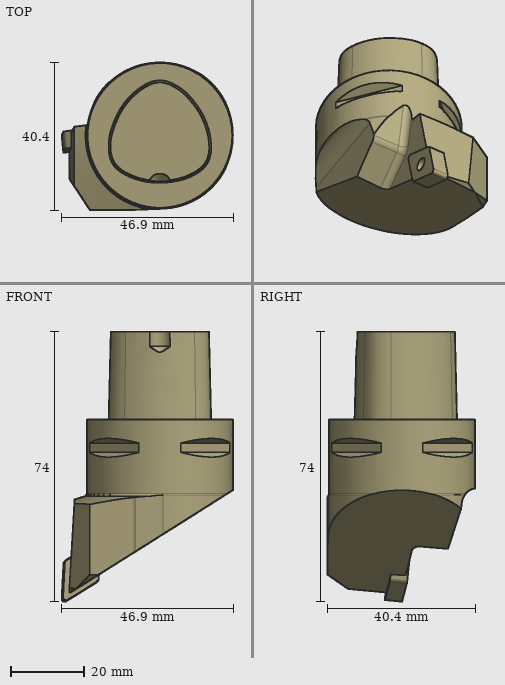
import cadquery as cq
import math


shank_length = 24.0
shank_mean_radius = 14.05
shank_top_mean_radius = 13.5
shank_lobe_height = 1.0
shank_segments = 6
points_per_segment = 5

notch_diameter = 6.0
notch_wall_y = -10.4
notch_depth = 4.1
notch_tip_depth = 2.2

flange_diameter = 40.0
flange_radius = flange_diameter / 2
flange_height = 20.35
flange_chamfer = 0.2

slot_count = 4
slot_floor_radius = 17.6
slot_mid_depth = 7.85
slot_floor_width = 2.5
slot_mouth_width = 5.1

head_radius = 20.1
head_front = 20.4
head_front_angle = 2.3
head_front_blend = 11.85
shoulder_depth = 21.1
shoulder_slope = 0.3
head_left = -23.45
head_left_depth = 23.15
head_left_angle = 3.3
head_corner_x = -19.2
head_corner_angle = 56.6
head_nose_back = 7.4
head_depth = 55.5
slope_start_depth = 19.45
slope_angle = 32.2

front_facet_depth = 42.55
front_facet_slope = 0.7
tip_facet_point = (-24.7, -11.55, -46.25)
tip_facet_slope_x = 0.45
tip_facet_slope_y = 0.16

lean_x = 0.1
lean_z = 0.1
rake_normal = cq.Vector(-lean_x, 1, -lean_z).normalized()
floor_height = 6.95
rake_height = 7.6

pocket_wall_top = (-24.4, 0.75)
pocket_wall_corner = (-14.65, 28.7)
pocket_wall_end = (1.5, 38.8)
pocket_corner_radius = 2.95
pocket_floor_fillet = 1.9

relief_y = 15.1
relief_y_depth = 23.1
relief_lean_x = 0.11
relief_lean_z = 0.15
relief_roof_depth = 19.1
relief_fillet = 4.45

insert_edge = 11.6
insert_angle = 55.0
insert_thickness = 4.7
insert_nose_radius = 0.8
insert_hole_diameter = 3.8
insert_left = -26.9
insert_bottom = -50.0
insert_lead_angle = 3.0

reach = 111.0


def half_space(point, normal):
    """Large block that fills the side of a plane to which the normal points."""
    return cq.Workplane(cq.Plane(origin=point, normal=normal)).rect(reach, reach).extrude(reach)


def lobed_wire(mean_radius, z):
    """Three-lobed polygon curve, split midway between each lobe and the flat next to it."""

    def point(angle):
        radial = mean_radius - shank_lobe_height * math.sin(3 * angle)
        along = -3 * shank_lobe_height * math.cos(3 * angle)
        x = radial * math.cos(angle) - along * math.sin(angle)
        y = radial * math.sin(angle) + along * math.cos(angle)
        return cq.Vector(x, y, z)

    def tangent(angle):
        return cq.Vector(-math.sin(angle), math.cos(angle), 0)

    span = 2 * math.pi / shank_segments
    edges = []
    for segment in range(shank_segments):
        start = segment * span
        angles = [start + span * i / (points_per_segment - 1) for i in range(points_per_segment)]
        ends = [tangent(angles[0]), tangent(angles[-1])]
        edges.append(cq.Edge.makeSpline([point(a) for a in angles], tangents=ends))
    return cq.Wire.assembleEdges(edges)


def make_shank():
    base = lobed_wire(shank_mean_radius, 0)
    top = lobed_wire(shank_top_mean_radius, shank_length)
    shank = cq.Workplane(cq.Solid.makeLoft([base, top], True))
    notch_radius = notch_diameter / 2
    shoulder_z = shank_length - notch_depth
    notch = (
        cq.Workplane("XZ")
        .polyline([
            (0, shank_length),
            (notch_radius, shank_length),
            (notch_radius, shoulder_z),
            (0, shoulder_z - notch_tip_depth),
        ])
        .close()
        .revolve(360, (0, 0), (0, 1))
        .translate((0, notch_wall_y - notch_radius, 0))
    )
    return shank.cut(notch)


def make_turned_envelope():
    """Flange, concave blend and conical shoulder, turned about the tool axis."""
    shoulder_outer = reach / 2
    shoulder_drop = (shoulder_outer - head_front) * shoulder_slope
    return (
        cq.Workplane("XZ")
        .moveTo(0, 0)
        .lineTo(flange_radius - flange_chamfer, 0)
        .lineTo(flange_radius, -flange_chamfer)
        .lineTo(flange_radius, -flange_height)
        .tangentArcPoint((head_front, -shoulder_depth), relative=False)
        .lineTo(shoulder_outer, -shoulder_depth - shoulder_drop)
        .lineTo(shoulder_outer, -head_depth)
        .lineTo(0, -head_depth)
        .close()
        .revolve(360, (0, 0), (0, 1))
    )


def make_plan_prism():
    """Round body with a nose reaching out to -X, its front face running tangent into the round."""
    front_angle = math.radians(head_front_angle)
    tangent_x = head_radius * math.sin(front_angle)
    tangent_y = -head_radius * math.cos(front_angle)
    bend_x = tangent_x - (head_front + tangent_y) / math.tan(front_angle)
    blend_run = head_front_blend * math.tan(front_angle / 2)
    corner_rise = head_nose_back + head_front
    corner_run = corner_rise / math.tan(math.radians(head_corner_angle))
    blend_start_x = bend_x + blend_run * math.cos(front_angle)
    blend_start_y = -head_front + blend_run * math.sin(front_angle)
    round_end_x = -math.sqrt(head_radius**2 - head_nose_back**2)
    return (
        cq.Workplane("XY")
        .moveTo(tangent_x, tangent_y)
        .lineTo(blend_start_x, blend_start_y)
        .tangentArcPoint((bend_x - blend_run, -head_front), relative=False)
        .lineTo(head_corner_x, -head_front)
        .lineTo(head_corner_x - corner_run, head_nose_back)
        .lineTo(round_end_x, head_nose_back)
        .threePointArc((head_radius, 0), (tangent_x, tangent_y))
        .close()
        .extrude(-head_depth)
    )


def trim_to_side_outline(head):
    """Cut the leaning left side and the sloping underside of the head."""
    lean = math.radians(head_left_angle)
    slope = math.radians(slope_angle)
    left = half_space((head_left, 0, -head_left_depth), (-math.cos(lean), 0, math.sin(lean)))
    underside = half_space(
        (flange_radius, 0, -slope_start_depth), (math.sin(slope), 0, -math.cos(slope))
    )
    return head.cut(left).cut(underside)


def rake_point(x, z, height):
    return (x, height + lean_x * x + lean_z * z, z)


def make_chip_pocket():
    """Open space above the rake floor; its local Y runs downwards."""
    floor = cq.Plane(
        origin=rake_point(0, 0, floor_height), xDir=(1, lean_x, 0), normal=rake_normal.toTuple()
    )
    pocket = (
        cq.Workplane(floor)
        .polyline([
            pocket_wall_top,
            pocket_wall_corner,
            pocket_wall_end,
            (pocket_wall_end[0], reach),
            (-reach, reach),
            (-reach, pocket_wall_top[1]),
        ])
        .close()
        .extrude(reach / 2)
    )
    pocket = pocket.edges(cq.selectors.ParallelDirSelector(rake_normal)).fillet(pocket_corner_radius)
    return pocket.faces(cq.selectors.DirectionMinMaxSelector(rake_normal, False)).edges().fillet(
        pocket_floor_fillet
    )


def make_back_relief():
    """Leaning flat on the back of the head, blended into a level roof under the flange."""
    section = cq.Plane(
        origin=(0, relief_y, -relief_y_depth), xDir=(-relief_lean_x, 1, 0), normal=(1, relief_lean_x, 0)
    )
    roof = relief_y_depth - relief_roof_depth
    bottom = relief_y_depth - head_depth
    relief = (
        cq.Workplane(section)
        .polyline([
            (roof * relief_lean_z, roof),
            (bottom * relief_lean_z, bottom),
            (reach / 2, bottom),
            (reach / 2, roof),
        ])
        .close()
        .extrude(reach / 2, both=True)
    )
    return relief.faces(">Z").edges("<Y").fillet(relief_fillet)


def make_gripper_slot(angle):
    half_floor = slot_floor_width / 2
    half_mouth = slot_mouth_width / 2
    mouth_slope = (half_mouth - half_floor) / (flange_radius - slot_floor_radius)
    outer = 2 * flange_radius - slot_floor_radius
    half_outer = half_floor + (outer - slot_floor_radius) * mouth_slope
    return (
        cq.Workplane("XZ", origin=(0, 0, -slot_mid_depth))
        .polyline([
            (slot_floor_radius, half_floor),
            (outer, half_outer),
            (outer, -half_outer),
            (slot_floor_radius, -half_floor),
        ])
        .close()
        .extrude(flange_radius, both=True)
        .rotate((0, 0, 0), (0, 0, 1), angle)
    )


def insert_plane():
    """Rake face of the insert: origin at the nose centre, local X along the cutting edge."""
    nose_centre = rake_point(
        insert_left + insert_nose_radius, insert_bottom + insert_nose_radius, rake_height
    )
    lead = math.tan(math.radians(insert_lead_angle))
    edge_direction = (lead, lean_x * lead + lean_z, 1)
    return cq.Plane(origin=nose_centre, xDir=edge_direction, normal=rake_normal.toTuple())


def insert_outline():
    """Corners of the rhombus before rounding, the cutting corner first."""
    angle = math.radians(insert_angle)
    x = -insert_nose_radius / math.tan(angle / 2)
    y = -insert_nose_radius
    step_x = insert_edge * math.cos(angle)
    step_y = insert_edge * math.sin(angle)
    return [
        (x, y),
        (x + insert_edge, y),
        (x + insert_edge + step_x, y + step_y),
        (x + step_x, y + step_y),
    ]


def make_insert_blank():
    """Rhombic plate with square sides, hanging below its rake face."""
    return (
        cq.Workplane(insert_plane())
        .polyline(insert_outline())
        .close()
        .extrude(-insert_thickness)
        .edges(cq.selectors.ParallelDirSelector(rake_normal))
        .fillet(insert_nose_radius)
    )


def make_insert():
    near_corner, _, far_corner, _ = insert_outline()
    middle_x = (near_corner[0] + far_corner[0]) / 2
    middle_y = (near_corner[1] + far_corner[1]) / 2
    hole = (
        cq.Workplane(insert_plane())
        .center(middle_x, middle_y)
        .circle(insert_hole_diameter / 2)
        .extrude(-insert_thickness)
    )
    return make_insert_blank().cut(hole)


def make_holder():
    head = make_turned_envelope().intersect(make_plan_prism())
    head = trim_to_side_outline(head)
    head = head.cut(make_back_relief())
    head = head.cut(make_chip_pocket())
    head = head.cut(half_space((0, -head_front, -front_facet_depth), (0, -front_facet_slope, -1)))
    head = head.cut(half_space(tip_facet_point, (-tip_facet_slope_x, -tip_facet_slope_y, -1)))
    for index in range(slot_count):
        head = head.cut(make_gripper_slot((index + 0.5) * 360 / slot_count))
    return head.union(make_shank()).cut(make_insert_blank())


holder = make_holder()
insert = make_insert()

result = cq.Compound.makeCompound([holder.solids().val(), insert.solids().val()])